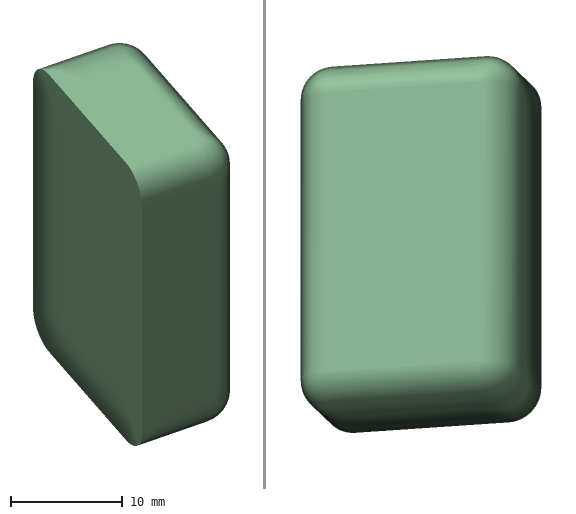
import cadquery as cq

width = 20.3
depth = 10.2
height = 32.0

corner_radius = 3.0

block = cq.Workplane("XY").box(width, depth, height, centered=(True, False, True))
rounded_corners = block.edges("|Y").fillet(corner_radius)
result = rounded_corners.faces(">Y").edges().fillet(corner_radius)